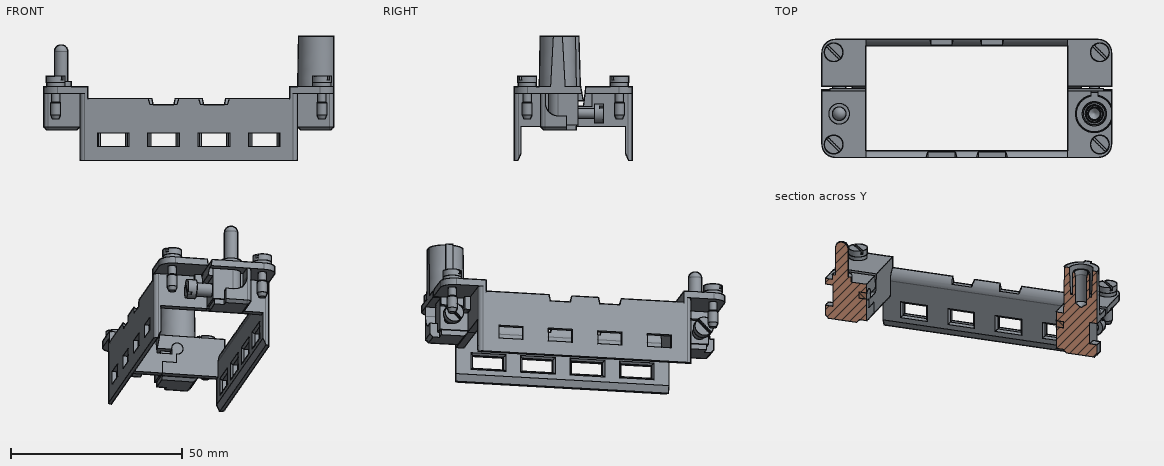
import cadquery as cq
import math


LENGTH = 84.65
WIDTH = 34.5
HALF_LENGTH = LENGTH / 2
HALF_WIDTH = WIDTH / 2
SIDE_WALL = 2.0
END_WALL = 2.3
OPENING_LENGTH = 58.9
INNER_X = OPENING_LENGTH / 2
OUTER_X = INNER_X + END_WALL
WALL_CORNER_RADIUS = 1.3
FLANGE_THICKNESS = 1.95
FLANGE_CORNER_RADIUS = 4.0
END_WALL_BOTTOM = -11.7
SIDE_WALL_BOTTOM = -21.6
SIDE_WALL_TOP = -3.4
LIP_RADIUS = 4.0
BEVEL_HEIGHT = 2.0
BEVEL_DEPTH = 0.9

MODULE_PITCH = 14.7
WINDOW_CENTERS = [MODULE_PITCH * step for step in (-1.5, -0.5, 0.5, 1.5)]
NOTCH_CENTERS = [MODULE_PITCH * step for step in (-0.5, 0.5)]
WINDOW_TOP = -13.55
WINDOW_BOTTOM = -17.4
FRONT_WINDOW = 9.2
REAR_WINDOW = 7.2
FLARE_WIDTH = 0.6
FLARE_DEPTH = 0.7
NOTCH_DEPTH = 1.9
FRONT_NOTCH_TOP = 9.0
FRONT_NOTCH_FLOOR = 7.9
REAR_NOTCH_TOP = 6.8
REAR_NOTCH_FLOOR = 6.0

REAR_EDGE_TOP_Y = 3.6
FRONT_EDGE_TOP_Y = 2.2
JOINT_EDGE_Y = 3.0
LIP_BOTTOM = -4.15
ARM_TOP = -5.6
ARM_BOTTOM = -8.1
ARM_FRONT_Y = -2.7
NECK_REAR_Y = -1.4
SEAM_Y = 1.4
KNUCKLE_Y = -3.05
KNUCKLE_Z = -3.8
KNUCKLE_DIAMETER = 3.4
FRONT_LIP_X = 39.95
REAR_LUG_X = 33.4
REAR_LUG_BACK_Y = 5.4
REAR_LUG_BOTTOM = -5.8

POST_X = 37.25
POST_Y = -4.5
POST_DIAMETER = 4.0
POST_STRAIGHT = 10.25
COLLAR_DIAMETER = 6.0
COLLAR_HEIGHT = 1.5
SOCKET_HEIGHT = 14.7
SOCKET_TOP_DIAMETER = 10.5
SOCKET_BASE_DIAMETER = 11.0
KEY_WIDTH = 2.0
KEY_TOP_Y = 1.7
KEY_BASE_Y = 2.1
BORE_TOP_DIAMETER = 7.1
BORE_FLOOR_DIAMETER = 6.35
BORE_DEPTH = 8.5
SLEEVE_DIAMETER = 5.3
SLEEVE_RIM_DIAMETER = 4.7
SLEEVE_RIM_TAPER = 0.7
SLEEVE_MOUTH_DIAMETER = 4.0
SLEEVE_BORE_DIAMETER = 3.4
SLEEVE_MOUTH_DEPTH = 2.5
SLEEVE_RECESS = 1.0
SLEEVE_BORE_DEPTH = 11.0
SLEEVE_TIP_DEPTH = 12.2

BLOCK_FRONT_Y = -9.6
BLOCK_BOTTOM = -12.7
BLOCK_CHAMFER = 0.9
BLOCK_CORNER_RADIUS = 1.3
BLOCK_STEP = 0.5
BLOCK_STEP_Z = -11.2
RECESS_FACE_X = 40.0
RECESS_FRONT_Y = -8.1
RECESS_SHELF_Y = -1.95
RECESS_FLOOR = -8.55
RECESS_RADIUS = 3.8
BOLT_Z = -7.9
LEFT_BOLT_DIAMETER = 4.0
RIGHT_BOLT_DIAMETER = 3.0
BOLT_HEAD_Y = 6.2
BOLT_HEAD_END_Y = 8.8

SCREW_X = 38.85
SCREW_Y = 13.5
HEAD_DIAMETER = 5.5
HEAD_HEIGHT = 3.05
WASHER_DIAMETER = 5.3
WASHER_HEIGHT = 1.2
SHANK_DIAMETER = 2.45
THREAD_DIAMETER = 3.0
THREAD_TOP = -4.5
THREAD_SHOULDER = 0.3
THREAD_END = -8.2
TIP_DIAMETER = 1.95
TIP_END = -9.4
SLOT_WIDTH = 0.7
SLOT_DEPTH = 1.1
SLOT_ANGLE = -45.0


def box(x, y, z):
    """Box from pairs of limits along X, Y and Z."""
    return (
        cq.Workplane("XY", origin=((x[0] + x[1]) / 2, (y[0] + y[1]) / 2, (z[0] + z[1]) / 2))
        .box(abs(x[1] - x[0]), abs(y[1] - y[0]), abs(z[1] - z[0]))
    )


def along_x(points):
    """Closed YZ outline extruded over the whole length of the frame."""
    return cq.Workplane("YZ").polyline(points).close().extrude(HALF_LENGTH, both=True)


def revolved(points, x, y):
    """Solid turned about the vertical axis at (x, y) from (radius, z) points."""
    profile = cq.Workplane("XZ").polyline(points).close()
    return profile.revolve(360, (0, 0, 0), (0, 1, 0)).translate((x, y, 0))


def side_wall(side):
    """Long wall with its thin upper edge and bevelled foot; side is -1 for front, +1 for rear."""
    inner_y = HALF_WIDTH - SIDE_WALL
    drop = math.sqrt(LIP_RADIUS**2 - (LIP_RADIUS - SIDE_WALL) ** 2)
    arc_z = SIDE_WALL_TOP - drop
    half_angle = math.asin(drop / LIP_RADIUS) / 2
    arc_middle = (
        inner_y + LIP_RADIUS * (1 - math.cos(half_angle)),
        arc_z + LIP_RADIUS * math.sin(half_angle),
    )
    wall = (
        cq.Workplane("YZ")
        .moveTo(HALF_WIDTH, SIDE_WALL_TOP)
        .lineTo(HALF_WIDTH, SIDE_WALL_BOTTOM)
        .lineTo(inner_y + BEVEL_DEPTH, SIDE_WALL_BOTTOM)
        .lineTo(inner_y, SIDE_WALL_BOTTOM + BEVEL_HEIGHT)
        .lineTo(inner_y, arc_z)
        .threePointArc(arc_middle, (HALF_WIDTH, SIDE_WALL_TOP))
        .close()
        .extrude(OUTER_X, both=True)
    )
    return wall if side > 0 else wall.mirror("XZ")


def end_wall_and_flange(end):
    """Short wall with its outward flange; end is -1 for the left end, +1 for the right end."""
    wall = box((end * INNER_X, end * OUTER_X), (-HALF_WIDTH, HALF_WIDTH), (END_WALL_BOTTOM, 0))
    flange = (
        box((end * INNER_X, end * HALF_LENGTH), (-HALF_WIDTH, HALF_WIDTH), (-FLANGE_THICKNESS, 0))
        .edges("|Z and " + (">X" if end > 0 else "<X"))
        .fillet(FLANGE_CORNER_RADIUS)
    )
    return wall, flange


def wall_envelope():
    """Rounded column that trims the outer corners where the walls meet."""
    return (
        box((-OUTER_X, OUTER_X), (-HALF_WIDTH, HALF_WIDTH), (SIDE_WALL_BOTTOM, 0))
        .edges("|Z")
        .fillet(WALL_CORNER_RADIUS)
    )


def frame_shell():
    """Whole frame before it is divided into its two halves."""
    walls = side_wall(-1).union(side_wall(1))
    flanges = []
    for end in (-1, 1):
        wall, flange = end_wall_and_flange(end)
        walls = walls.union(wall)
        flanges.append(flange)
    shell = walls.intersect(wall_envelope())
    for flange in flanges:
        shell = shell.union(flange)
    return shell


def rear_region():
    """Space of the rear half, with the arm and round knuckle that hook into the front half."""
    region = along_x([
        (HALF_WIDTH, 0),
        (REAR_EDGE_TOP_Y, 0),
        (JOINT_EDGE_Y, ARM_TOP),
        (NECK_REAR_Y, ARM_TOP),
        (NECK_REAR_Y, KNUCKLE_Z),
        (ARM_FRONT_Y, KNUCKLE_Z),
        (ARM_FRONT_Y, ARM_BOTTOM),
        (SEAM_Y, ARM_BOTTOM),
        (SEAM_Y, SIDE_WALL_BOTTOM),
        (HALF_WIDTH, SIDE_WALL_BOTTOM),
    ])
    knuckle = (
        cq.Workplane("YZ")
        .center(KNUCKLE_Y, KNUCKLE_Z)
        .circle(KNUCKLE_DIAMETER / 2)
        .extrude(HALF_LENGTH, both=True)
    )
    return region.union(knuckle)


def joint_gap():
    """Open space left between the two halves above the arm."""
    return along_x([
        (REAR_EDGE_TOP_Y, 0),
        (JOINT_EDGE_Y, ARM_TOP),
        (NECK_REAR_Y, ARM_TOP),
        (NECK_REAR_Y, LIP_BOTTOM),
        (JOINT_EDGE_Y, LIP_BOTTOM),
        (FRONT_EDGE_TOP_Y, 0),
    ])


def window_cutter(center, side, width):
    """Window through a side wall, flaring out towards the inner face."""
    height = WINDOW_TOP - WINDOW_BOTTOM
    middle_z = (WINDOW_TOP + WINDOW_BOTTOM) / 2
    inner_y = HALF_WIDTH - SIDE_WALL
    passage = box(
        (center - width / 2, center + width / 2),
        (inner_y, HALF_WIDTH),
        (WINDOW_BOTTOM, WINDOW_TOP),
    )
    flare = (
        cq.Workplane("XZ", origin=(center, inner_y, middle_z))
        .rect(width + 2 * FLARE_WIDTH, height + 2 * FLARE_WIDTH)
        .workplane(offset=-FLARE_DEPTH)
        .rect(width, height)
        .loft(ruled=True)
    )
    cutter = passage.union(flare)
    return cutter if side > 0 else cutter.mirror("XZ")


def notch_cutter(center, side, top_width, floor_width):
    """Tapered notch in the upper edge of a side wall."""
    floor_z = SIDE_WALL_TOP - NOTCH_DEPTH
    notch = (
        cq.Workplane("XZ")
        .polyline([
            (center - top_width / 2, SIDE_WALL_TOP),
            (center - floor_width / 2, floor_z),
            (center + floor_width / 2, floor_z),
            (center + top_width / 2, SIDE_WALL_TOP),
        ])
        .close()
        .extrude(-HALF_WIDTH)
    )
    return notch if side > 0 else notch.mirror("XZ")


def slot_cutter(length):
    """Screwdriver slot below the plane Z = 0, turned about the Z axis."""
    return (
        box((-length / 2, length / 2), (-SLOT_WIDTH / 2, SLOT_WIDTH / 2), (-SLOT_DEPTH, 0))
        .rotate((0, 0, 0), (0, 0, 1), SLOT_ANGLE)
    )


def fixing_screw(x, y):
    """Vertical captive screw with a slotted head."""
    screw = revolved([
        (0, HEAD_HEIGHT),
        (HEAD_DIAMETER / 2, HEAD_HEIGHT),
        (HEAD_DIAMETER / 2, WASHER_HEIGHT),
        (WASHER_DIAMETER / 2, WASHER_HEIGHT),
        (WASHER_DIAMETER / 2, 0),
        (SHANK_DIAMETER / 2, 0),
        (SHANK_DIAMETER / 2, THREAD_TOP),
        (THREAD_DIAMETER / 2, THREAD_TOP - THREAD_SHOULDER),
        (THREAD_DIAMETER / 2, THREAD_END),
        (TIP_DIAMETER / 2, TIP_END),
        (0, TIP_END),
    ], x, y)
    return screw.cut(slot_cutter(HEAD_DIAMETER).translate((x, y, HEAD_HEIGHT)))


def clamping_bolt(end):
    """Horizontal bolt with a slotted head, reaching back out of the terminal block."""
    diameter = LEFT_BOLT_DIAMETER if end < 0 else RIGHT_BOLT_DIAMETER
    shaft_plane = cq.Workplane("XZ", origin=(end * POST_X, SEAM_Y, BOLT_Z))
    shaft = shaft_plane.circle(diameter / 2).extrude(SEAM_Y - BOLT_HEAD_Y)
    head_plane = cq.Workplane("XZ", origin=(end * POST_X, BOLT_HEAD_Y, BOLT_Z))
    head = head_plane.circle(HEAD_DIAMETER / 2).extrude(BOLT_HEAD_Y - BOLT_HEAD_END_Y)
    slot = (
        slot_cutter(HEAD_DIAMETER)
        .rotate((0, 0, 0), (1, 0, 0), -90)
        .translate((end * POST_X, BOLT_HEAD_END_Y, BOLT_Z))
    )
    return shaft.union(head.cut(slot))


def block_recess():
    """Recess in the outer face of the left terminal block, around a half-round boss."""
    outer = -HALF_LENGTH
    deep = -POST_X
    face = -RECESS_FACE_X
    pocket = (
        box((outer, deep), (RECESS_FRONT_Y, SEAM_Y), (RECESS_FLOOR, -FLANGE_THICKNESS))
        .edges("|X and <Y and <Z")
        .fillet(RECESS_RADIUS)
    )
    kept_core = box((face, deep), (POST_Y, SEAM_Y), (RECESS_FLOOR, -FLANGE_THICKNESS))
    boss = (
        cq.Workplane("XY", origin=(-POST_X, POST_Y, RECESS_FLOOR))
        .circle(RECESS_FACE_X - POST_X)
        .extrude(-FLANGE_THICKNESS - RECESS_FLOOR)
    )
    shelf_end = box((outer, face), (RECESS_SHELF_Y, SEAM_Y), (BLOCK_BOTTOM, -FLANGE_THICKNESS))
    return pocket.cut(kept_core).cut(boss).union(shelf_end)


def terminal_block(end):
    """Block under a front flange, made for the left end and mirrored for the right end."""
    block = (
        box((-HALF_LENGTH, -OUTER_X), (BLOCK_FRONT_Y, SEAM_Y), (BLOCK_BOTTOM, -FLANGE_THICKNESS))
        .edges("|Z and <X and <Y")
        .fillet(BLOCK_CORNER_RADIUS)
        .faces("<Z")
        .edges("not(>Y)")
        .chamfer(BLOCK_CHAMFER)
    )
    foot_z = (BLOCK_BOTTOM, BLOCK_STEP_Z)
    back_step = box((-HALF_LENGTH, -OUTER_X), (SEAM_Y - BLOCK_STEP, SEAM_Y), foot_z)
    side_step = box((-HALF_LENGTH, BLOCK_STEP - RECESS_FACE_X), (RECESS_SHELF_Y, SEAM_Y), foot_z)
    block = block.cut(block_recess()).cut(back_step).cut(side_step)
    return block if end < 0 else block.mirror("YZ")


def guide_post():
    """Round-ended post with a collar at its foot."""
    radius = POST_DIAMETER / 2
    collar = cq.Workplane("XY").circle(COLLAR_DIAMETER / 2).extrude(COLLAR_HEIGHT)
    shaft = cq.Workplane("XY").circle(radius).extrude(POST_STRAIGHT)
    dome = cq.Workplane("XY", origin=(0, 0, POST_STRAIGHT)).sphere(radius)
    return collar.union(shaft).union(dome).translate((-POST_X, POST_Y, 0))


def guide_socket():
    """Tapered socket with a key rib and an inner sleeve, trimmed flush with the frame end."""
    body = revolved([
        (0, 0),
        (SOCKET_BASE_DIAMETER / 2, 0),
        (SOCKET_TOP_DIAMETER / 2, SOCKET_HEIGHT),
        (0, SOCKET_HEIGHT),
    ], POST_X, POST_Y)
    key = (
        cq.Workplane("YZ", origin=(POST_X, 0, 0))
        .polyline([(POST_Y, 0), (KEY_BASE_Y, 0), (KEY_TOP_Y, SOCKET_HEIGHT), (POST_Y, SOCKET_HEIGHT)])
        .close()
        .extrude(KEY_WIDTH / 2, both=True)
    )
    trim = box((0, HALF_LENGTH), (-HALF_WIDTH, HALF_WIDTH), (0, SOCKET_HEIGHT))
    bore_floor = SOCKET_HEIGHT - BORE_DEPTH
    sleeve_rim = SOCKET_HEIGHT - SLEEVE_RECESS
    cavity = revolved([
        (0, SOCKET_HEIGHT),
        (BORE_TOP_DIAMETER / 2, SOCKET_HEIGHT),
        (BORE_FLOOR_DIAMETER / 2, bore_floor),
        (SLEEVE_DIAMETER / 2, bore_floor),
        (SLEEVE_DIAMETER / 2, sleeve_rim - SLEEVE_RIM_TAPER),
        (SLEEVE_RIM_DIAMETER / 2, sleeve_rim),
        (SLEEVE_MOUTH_DIAMETER / 2, sleeve_rim),
        (SLEEVE_BORE_DIAMETER / 2, SOCKET_HEIGHT - SLEEVE_MOUTH_DEPTH),
        (SLEEVE_BORE_DIAMETER / 2, SOCKET_HEIGHT - SLEEVE_BORE_DEPTH),
        (0, SOCKET_HEIGHT - SLEEVE_TIP_DEPTH),
    ], POST_X, POST_Y)
    return body.union(key).intersect(trim).cut(cavity)


def rear_half(shell):
    """Rear wall and flange parts with their stiffening lugs and fixing screws."""
    body = shell
    for end in (-1, 1):
        lug = box(
            (end * INNER_X, end * REAR_LUG_X),
            (SEAM_Y, REAR_LUG_BACK_Y),
            (REAR_LUG_BOTTOM, -FLANGE_THICKNESS),
        )
        body = body.union(lug)
    body = body.intersect(rear_region())
    for center in WINDOW_CENTERS:
        body = body.cut(window_cutter(center, 1, REAR_WINDOW))
    for center in NOTCH_CENTERS:
        body = body.cut(notch_cutter(center, 1, REAR_NOTCH_TOP, REAR_NOTCH_FLOOR))
    for end in (-1, 1):
        body = body.union(fixing_screw(end * SCREW_X, SCREW_Y))
    return body


def front_half(shell):
    """Front wall and flange parts with blocks, bolts, fixing screws, guide post and guide socket."""
    body = shell
    for end in (-1, 1):
        lip = box(
            (end * INNER_X, end * FRONT_LIP_X),
            (SEAM_Y, JOINT_EDGE_Y),
            (LIP_BOTTOM, -FLANGE_THICKNESS),
        )
        body = body.union(lip)
    body = body.cut(rear_region()).cut(joint_gap())
    for center in WINDOW_CENTERS:
        body = body.cut(window_cutter(center, -1, FRONT_WINDOW))
    for center in NOTCH_CENTERS:
        body = body.cut(notch_cutter(center, -1, FRONT_NOTCH_TOP, FRONT_NOTCH_FLOOR))
    for end in (-1, 1):
        body = body.union(terminal_block(end))
        body = body.union(clamping_bolt(end))
        body = body.union(fixing_screw(end * SCREW_X, -SCREW_Y))
    return body.union(guide_post()).union(guide_socket())


frame = frame_shell()
front = front_half(frame)
rear = rear_half(frame)

result = cq.Compound.makeCompound([front.val(), rear.val()])